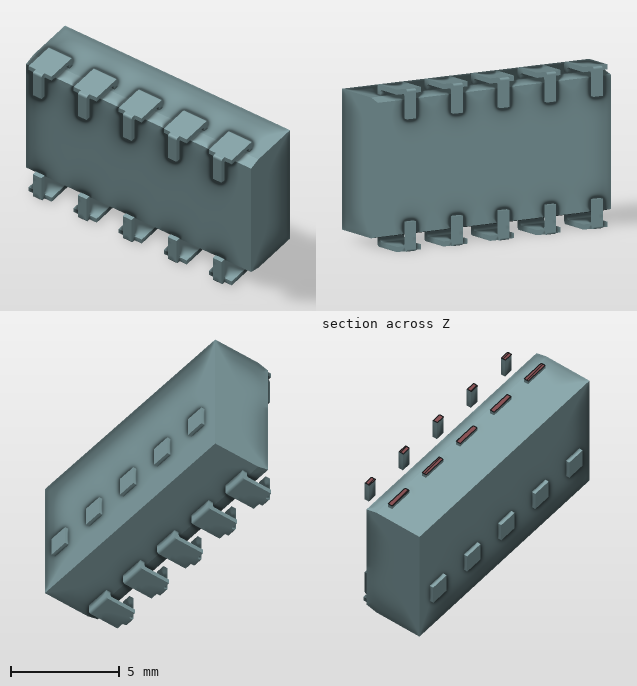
import cadquery as cq


housing_length = 12.7
overall_depth = 4.2
overall_height = 7.62

position_count = 5
pitch = housing_length / position_count

housing_height = 6.6
housing_depth = 3.1
taper_depth = 0.58
taper_height = 0.15

slider_width = 1.0
slider_height = 1.0
slider_protrusion = 0.2
slider_center_z = -1.05

lead_thickness = 0.24
lead_depth = 1.9
blade_width = 1.3
foot_width = 0.5
foot_length = 1.4
outer_bend_radius = 0.11
inner_bend_radius = 0.11

half_housing = housing_height / 2
lead_top = overall_height / 2
blade_underside = lead_top - lead_thickness
foot_front = housing_depth + slider_protrusion - overall_depth
foot_back = foot_front + lead_thickness
stem_back = foot_front + lead_depth
stem_front = stem_back - lead_thickness
position_centers = [(i - (position_count - 1) / 2) * pitch for i in range(position_count)]


def extrude_along_x(profile, width, center_x):
    """Extrude a closed YZ profile by width, centred on center_x."""
    return profile.extrude(width / 2, both=True).translate((center_x, 0, 0))


def make_housing():
    """Block whose long edges taper towards the mounting face."""
    profile = cq.Workplane("YZ").polyline([
        (0, half_housing - taper_height),
        (taper_depth, half_housing),
        (housing_depth, half_housing),
        (housing_depth, -half_housing),
        (taper_depth, -half_housing),
        (0, -half_housing + taper_height),
    ]).close()
    return extrude_along_x(profile, housing_length, 0)


def make_blade(center_x):
    """Wide part of an upper lead: a stem on the housing and a flat blade, joined by a rounded bend."""
    profile = (
        cq.Workplane("YZ")
        .moveTo(stem_back, half_housing)
        .lineTo(stem_back, lead_top - outer_bend_radius)
        .radiusArc((stem_back - outer_bend_radius, lead_top), -outer_bend_radius)
        .lineTo(foot_back, lead_top)
        .lineTo(foot_back, blade_underside)
        .lineTo(stem_front - inner_bend_radius, blade_underside)
        .radiusArc((stem_front, blade_underside - inner_bend_radius), inner_bend_radius)
        .lineTo(stem_front, half_housing)
        .close()
    )
    return extrude_along_x(profile, blade_width, center_x)


def make_foot(center_x):
    """Narrow part of an upper lead: a foot bent down from the front end of the blade."""
    foot_end = lead_top - foot_length
    profile = (
        cq.Workplane("YZ")
        .moveTo(foot_back + inner_bend_radius, lead_top)
        .lineTo(foot_front + outer_bend_radius, lead_top)
        .radiusArc((foot_front, lead_top - outer_bend_radius), -outer_bend_radius)
        .lineTo(foot_front, foot_end)
        .lineTo(foot_back, foot_end)
        .lineTo(foot_back, blade_underside - inner_bend_radius)
        .radiusArc((foot_back + inner_bend_radius, blade_underside), inner_bend_radius)
        .close()
    )
    return extrude_along_x(profile, foot_width, center_x)


def make_slider(center_x):
    """Rectangular slider standing on the rear face of the housing."""
    return cq.Workplane("XY").box(
        slider_width, slider_protrusion, slider_height, centered=(True, False, True)
    ).translate((center_x, housing_depth, slider_center_z))


result = make_housing()
for x in position_centers:
    upper_lead = make_blade(x).union(make_foot(x))
    lower_lead = upper_lead.mirror("XY")
    result = result.union(upper_lead).union(lower_lead).union(make_slider(x))